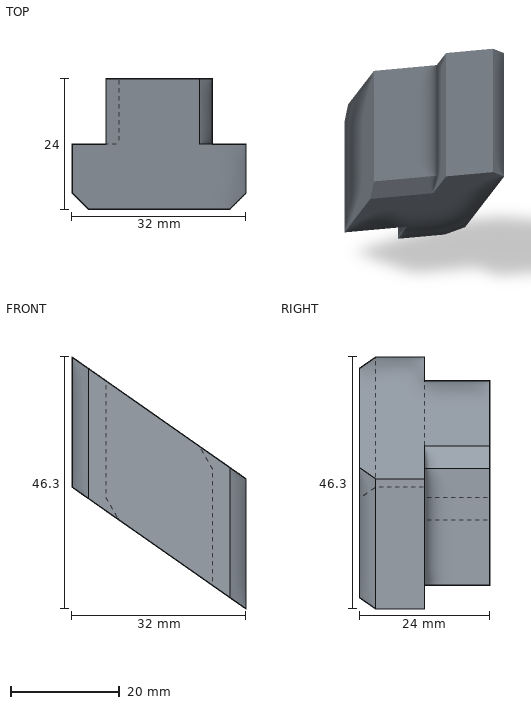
import cadquery as cq
import math

base_width = 32.0
base_depth = 12.0
base_chamfer = 3.0
stem_width = 19.6
stem_depth = 12.0
overall_height = 46.33
end_slope = math.radians(35.0)
stem_corner_run = 2.4
stem_corner_angle = math.radians(60.0)

side_height = overall_height - base_width * math.tan(end_slope)
base_back = base_depth
stem_back = base_depth + stem_depth


def end_drop(width):
    """Fall of a sloped end face across a given X width."""
    return width * math.tan(end_slope)


def make_base():
    """Parallelogram plate with both front vertical edges chamfered."""
    half = base_width / 2
    top = (side_height + end_drop(base_width)) / 2
    plate = (
        cq.Workplane("XZ", origin=(0, base_back, 0))
        .polyline([(-half, top), (half, side_height - top), (half, -top), (-half, top - side_height)])
        .close()
        .extrude(base_depth)
    )
    footprint = (
        cq.Workplane("XY", origin=(0, 0, -top))
        .moveTo(-half, base_back)
        .lineTo(half, base_back)
        .lineTo(half, base_chamfer)
        .lineTo(half - base_chamfer, 0)
        .lineTo(base_chamfer - half, 0)
        .lineTo(-half, base_chamfer)
        .close()
        .extrude(overall_height)
    )
    return plate.intersect(footprint)


def make_stem():
    """Narrower parallelogram with flats on its lower -X and upper +X corners."""
    half = stem_width / 2
    top = (side_height + end_drop(stem_width)) / 2
    flat_x = half - stem_corner_run
    flat_outer_z = top - side_height + stem_corner_run * (math.tan(stem_corner_angle) - math.tan(end_slope))
    flat_inner_z = top - side_height - end_drop(stem_corner_run)
    outline = [
        (-half, top),
        (flat_x, -flat_inner_z),
        (half, -flat_outer_z),
        (half, -top),
        (-flat_x, flat_inner_z),
        (-half, flat_outer_z),
    ]
    return cq.Workplane("XZ", origin=(0, stem_back, 0)).polyline(outline).close().extrude(stem_depth)


result = make_base().union(make_stem())